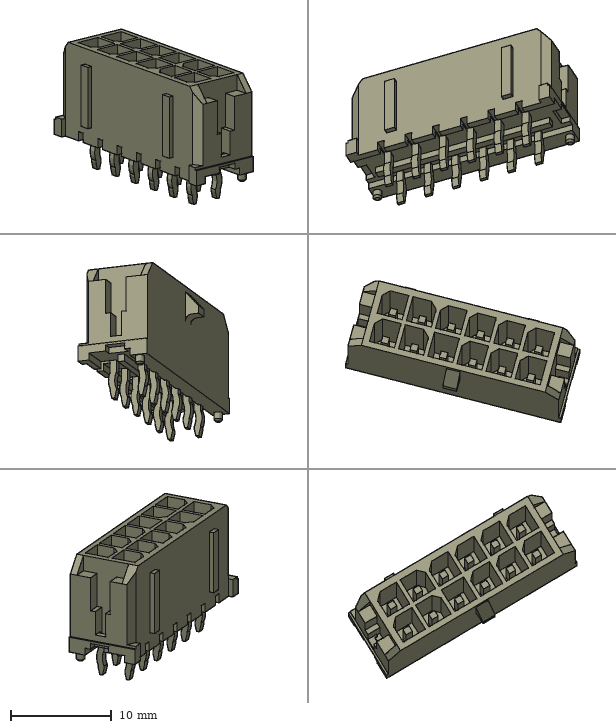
import cadquery as cq


overall_length = 22.15
housing_length = 21.7
housing_depth = 6.89
housing_height = 9.9
top_length = 18.92
shoulder_height = 8.26
corner_inset_x = 0.95
corner_inset_y = 0.53
front_reach = 7.38
ledge_height = 1.85
flange_height = 1.6

columns = 6
row_span = 15.0
pitch = row_span / (columns - 1)
mid_y = -3.4
column_xs = [pitch * (i - (columns - 1) / 2) for i in range(columns)]
rear_row_y = mid_y + pitch / 2
front_row_y = mid_y - pitch / 2

cavity_size = 2.57
cavity_floor = 2.22
cavity_key = 0.66
rear_step_depth = 0.07
rear_step_height = 2.22
right_key = 1
left_key = -1
no_key = 0
front_row_keys = [right_key, right_key, right_key, right_key, left_key, right_key]
rear_row_keys = [right_key, right_key, right_key, no_key, left_key, right_key]

contact_width = 0.7
tail_thickness = 0.66
contact_top = 7.09
bend_start = -0.53
bend_end = -2.22
bend_offset = 0.18
taper_start = -2.45
tail_end = -3.2
tip_thickness = 0.3

end_wall_x = top_length / 2
shelf_rear_y = -0.75
shelf_front_y = -5.83
wide_slot_width = 2.2
wide_slot_floor = 4.75
narrow_slot_width = 1.15
narrow_slot_floor = 2.25
clip_slot_width = 0.82
clip_slot_outer_x = 10.15
clip_slot_step_x = 9.83
clip_slot_floor = 1.77
clip_recess_width = 2.04
clip_recess_top = 1.35

channel_height = 0.73
channel_rear_y = -1.8
channel_front_y = -6.2
centre_rib_width = 0.69
notch_height = 0.97

rib_width = 1.05
rib_spacing = 12.67
latch_width = 1.42
latch_reach = 1.4
latch_top = 9.33
latch_tip_top = 7.75
latch_underside = 6.95
latch_root_radius = 0.65
peg_x = 10.48
peg_y = -0.97
peg_diameter = 0.89
peg_length = 0.89
peg_chamfer = 0.2


def box(x_start, x_end, y_start, y_end, z_start, z_end):
    """Box between two opposite corners."""
    size = (abs(x_end - x_start), abs(y_end - y_start), abs(z_end - z_start))
    centre = ((x_start + x_end) / 2, (y_start + y_end) / 2, (z_start + z_end) / 2)
    return cq.Workplane("XY").box(*size).translate(centre)


def make_shell():
    """Housing block with sloped top ends and cut front corners, on its flanged foot."""
    half = housing_length / 2
    half_front = half - corner_inset_x
    corner_y = corner_inset_y - housing_depth
    plan = (
        cq.Workplane("XY")
        .polyline([
            (-half, 0),
            (half, 0),
            (half, corner_y),
            (half_front, -housing_depth),
            (-half_front, -housing_depth),
            (-half, corner_y),
        ])
        .close()
        .extrude(housing_height)
    )
    elevation = (
        cq.Workplane("XZ")
        .polyline([
            (-half, 0),
            (half, 0),
            (half, shoulder_height),
            (end_wall_x, housing_height),
            (-end_wall_x, housing_height),
            (-half, shoulder_height),
        ])
        .close()
        .extrude(housing_depth)
    )
    shell = plan.intersect(elevation)
    for side in (-1, 1):
        flange_x = side * overall_length / 2
        shell = shell.union(box(side * half_front, flange_x, 0, -front_reach, 0, flange_height))
        shell = shell.union(box(side * half_front, side * half, corner_y, -front_reach, 0, ledge_height))
    return shell


def make_end_recess(side):
    """Stepped recess in one end wall, with a solder clip slot and an outer foot recess below it."""

    def slot(outer_x, inner_x, width, z_start, z_end):
        return box(side * outer_x, side * inner_x, mid_y - width / 2, mid_y + width / 2, z_start, z_end)

    outer_x = overall_length / 2
    recess = box(
        side * outer_x, side * end_wall_x, shelf_rear_y, shelf_front_y, shoulder_height, housing_height
    )
    recess = recess.union(slot(outer_x, end_wall_x, wide_slot_width, wide_slot_floor, shoulder_height))
    recess = recess.union(slot(outer_x, end_wall_x, narrow_slot_width, narrow_slot_floor, wide_slot_floor))
    recess = recess.union(
        slot(clip_slot_outer_x, end_wall_x, clip_slot_width, clip_slot_floor, narrow_slot_floor)
    )
    recess = recess.union(
        slot(clip_slot_step_x, end_wall_x, narrow_slot_width, clip_slot_floor, narrow_slot_floor)
    )
    return recess.union(slot(outer_x, clip_slot_outer_x, clip_recess_width, 0, clip_recess_top))


def make_cavity(x, y, key):
    """Contact cavity with one keyed front corner and a low step along its rear wall."""
    half = cavity_size / 2
    cavity = box(x - half, x + half, y - half, y + half, cavity_floor, housing_height)
    if key != no_key:
        corner = "<Y and >X" if key == right_key else "<Y and <X"
        cavity = cavity.edges("|Z").edges(corner).chamfer(cavity_key)
    step_y = y + half - rear_step_depth
    step_top = cavity_floor + rear_step_height
    return cavity.cut(box(x - half, x + half, step_y, y + half, cavity_floor, step_top))


def make_underside_cut():
    """Channel along the underside around a centre rib, with a notch from the front to each contact."""
    half = overall_length / 2
    channel = box(-half, half, channel_rear_y, channel_front_y, 0, channel_height)
    rib_rear_y = mid_y + centre_rib_width / 2
    rib_front_y = mid_y - centre_rib_width / 2
    cut = channel.cut(box(-end_wall_x, end_wall_x, rib_rear_y, rib_front_y, 0, channel_height))
    for x in column_xs:
        notch_half = contact_width / 2
        cut = cut.union(box(x - notch_half, x + notch_half, front_row_y, -housing_depth, 0, notch_height))
    return cut


def make_contact(x, y, outward):
    """Contact whose tail bows outward below the housing and tapers to a blunt tip."""
    half = tail_thickness / 2
    half_tip = tip_thickness / 2
    bow = outward * bend_offset
    bend_middle = (bend_start + bend_end) / 2
    return (
        cq.Workplane("YZ")
        .moveTo(-half, contact_top)
        .lineTo(-half, bend_start)
        .threePointArc((bow - half, bend_middle), (-half, bend_end))
        .lineTo(-half, taper_start)
        .lineTo(-half_tip, tail_end)
        .lineTo(half_tip, tail_end)
        .lineTo(half, taper_start)
        .lineTo(half, bend_end)
        .threePointArc((bow + half, bend_middle), (half, bend_start))
        .lineTo(half, contact_top)
        .close()
        .extrude(contact_width / 2, both=True)
        .translate((x, y, 0))
    )


def make_front_rib(x):
    """Upright rib on the front wall."""
    half = rib_width / 2
    return box(x - half, x + half, -housing_depth, -front_reach, ledge_height, shoulder_height)


def make_latch():
    """Ramped latch on the rear wall, blended into the wall underneath."""
    profile = (
        cq.Workplane("YZ")
        .moveTo(0, latch_top)
        .lineTo(latch_reach, latch_tip_top)
        .lineTo(latch_reach, latch_underside)
        .lineTo(latch_root_radius, latch_underside)
        .radiusArc((0, latch_underside - latch_root_radius), -latch_root_radius)
        .close()
    )
    return profile.extrude(latch_width / 2, both=True)


def make_peg(x):
    """Round locating peg with a chamfered end."""
    return (
        cq.Workplane("XY")
        .center(x, peg_y)
        .circle(peg_diameter / 2)
        .extrude(-peg_length)
        .faces("<Z")
        .chamfer(peg_chamfer)
    )


result = make_shell().cut(make_underside_cut())

for side in (-1, 1):
    result = result.cut(make_end_recess(side))
    result = result.union(make_front_rib(side * rib_spacing / 2))
    result = result.union(make_peg(side * peg_x))

for row_y, keys, outward in ((rear_row_y, rear_row_keys, 1), (front_row_y, front_row_keys, -1)):
    for x, key in zip(column_xs, keys):
        result = result.cut(make_cavity(x, row_y, key))
        result = result.union(make_contact(x, row_y, outward))

result = result.union(make_latch())